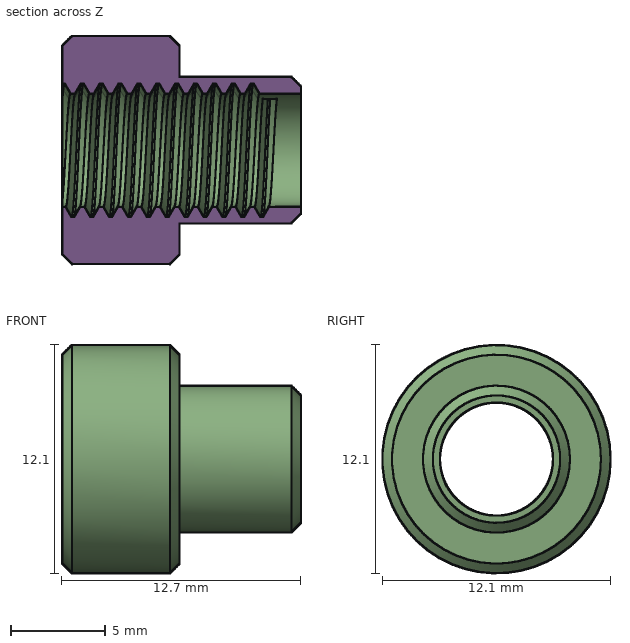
import cadquery as cq
import math

total_length = 12.7
head_length = 6.25
head_diameter = 12.14
shank_diameter = 7.81
chamfer = 0.52

bore_diameter = 6.0
thread_pitch = 1.0
thread_depth = 0.54 * thread_pitch
root_flat = thread_pitch / 8
flank_angle = 30.0
thread_start_angle = -25.0
thread_turns = 11
overrun_turns = 1
bore_overlap = 0.06


def axial_cylinder(start, length, diameter):
    return cq.Workplane("YZ").workplane(offset=start).circle(diameter / 2).extrude(length)


def make_body():
    head = axial_cylinder(0, head_length, head_diameter).edges().chamfer(chamfer)
    shank_length = total_length - head_length
    shank = axial_cylinder(head_length, shank_length, shank_diameter).edges(">X").chamfer(chamfer)
    bore = axial_cylinder(0, total_length, bore_diameter)
    return head.union(shank).cut(bore)


def make_turn_cutter():
    """One turn of the helical trapezoidal groove, built along Z, then turned onto the X axis."""
    inner_radius = bore_diameter / 2 - bore_overlap
    root_radius = bore_diameter / 2 + thread_depth
    half_root = root_flat / 2
    half_mouth = half_root + (root_radius - inner_radius) * math.tan(math.radians(flank_angle))

    corners = [
        (inner_radius, -half_mouth),
        (root_radius, -half_root),
        (root_radius, half_root),
        (inner_radius, half_mouth),
    ]
    helices = [
        cq.Wire.makeHelix(thread_pitch, thread_pitch, radius, center=cq.Vector(0, 0, height))
        for radius, height in corners
    ]
    faces = [
        cq.Face.makeRuledSurface(helices[i - 1], helices[i]).Faces()[0]
        for i in range(len(helices))
    ]
    end_points = [[helix.positionAt(end) for helix in helices] for end in (0, 1)]
    faces += [cq.Face.makeFromWires(cq.Wire.makePolygon(points, close=True)) for points in end_points]
    cutter = cq.Solid.makeSolid(cq.Shell.makeShell(faces))

    cutter = cutter.rotate((0, 0, 0), (0, 1, 0), 90)
    return cutter.rotate((0, 0, 0), (1, 0, 0), thread_start_angle + 90)


def cut_thread(body):
    turn_cutter = make_turn_cutter()
    for turn in range(-overrun_turns, thread_turns):
        cutter = turn_cutter.translate(cq.Vector(turn * thread_pitch, 0, 0))
        body = body.cut(cq.Workplane(cutter), clean=False)
    return body


result = cut_thread(make_body())